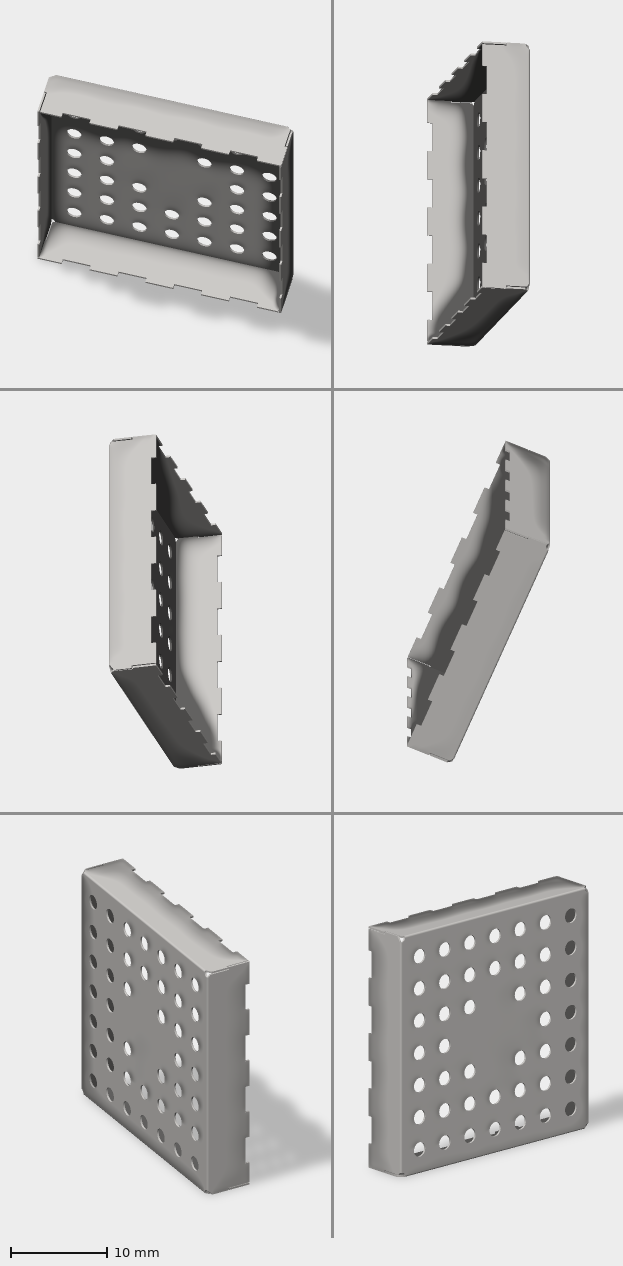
import cadquery as cq
import math

SIDE = 26.21
DEPTH = 5.08
SHEET = 0.2
CORNER_GAP = 0.1
RELIEF_RADIUS = 0.45
RELIEF_INSET = 0.13
RELIEF_SLOPE_WIDTH = 0.53
RELIEF_SLOPE_DEPTH = 0.37

HOLE_DIAMETER = 1.57
HOLE_PITCH = 3.5
HOLE_RINGS = 3
BLANK_STEPS = 1

NOTCH_COUNT = 4
NOTCH_WIDTH = 3.0
NOTCH_DEPTH = 0.5
NOTCH_PITCH = 6.0

WALL_COUNT = 4

half_side = SIDE / 2
half_depth = DEPTH / 2
inner_half = half_side - SHEET
plate_inner_y = half_depth - SHEET
lap_half = inner_half - CORNER_GAP


def block(x_range, y_range, z_range):
    """Box spanning the given (low, high) ranges."""
    size = [high - low for low, high in (x_range, y_range, z_range)]
    low_corner = (x_range[0], y_range[0], z_range[0])
    return cq.Workplane("XY").box(*size, centered=False).translate(low_corner)


def perforated_plate():
    """Flat square between the bends, with its hole grid."""
    flat = (-inner_half, inner_half)
    plate = block(flat, (plate_inner_y, half_depth), flat)
    steps = range(-HOLE_RINGS, HOLE_RINGS + 1)
    holes = [
        (column * HOLE_PITCH, row * HOLE_PITCH)
        for column in steps
        for row in steps
        if abs(column) + abs(row) > BLANK_STEPS
    ]
    hole_tools = cq.Workplane("XZ").pushPoints(holes).circle(HOLE_DIAMETER / 2).extrude(DEPTH, both=True)
    return plate.cut(hole_tools)


def plate_reliefs():
    """Round cutters at the four corners, through the plate and the bends only."""
    centre = half_side - RELIEF_INSET
    ends = (-centre, centre)
    return (
        cq.Workplane("XZ", origin=(0, half_depth, 0))
        .pushPoints([(x, z) for x in ends for z in ends])
        .circle(RELIEF_RADIUS)
        .extrude(SHEET)
    )


def bent_strip():
    """Full-width +Z wall with the rounded bend that joins it to the plate."""
    bend_mid = SHEET * math.sqrt(0.5)
    return (
        cq.Workplane("YZ", origin=(-half_side, 0, 0))
        .moveTo(-half_depth, inner_half)
        .lineTo(plate_inner_y, inner_half)
        .lineTo(half_depth, inner_half)
        .threePointArc((plate_inner_y + bend_mid, inner_half + bend_mid), (plate_inner_y, half_side))
        .lineTo(-half_depth, half_side)
        .close()
        .extrude(SIDE)
    )


def corner_laps():
    """Corner material given up to the neighbours: far half at -X, plate half at +X."""
    wall_z = (inner_half, half_side)
    far_lap = block((-half_side, -lap_half), (-half_depth, CORNER_GAP / 2), wall_z)
    plate_lap = block((lap_half, half_side), (-CORNER_GAP / 2, half_depth), wall_z)
    return far_lap.union(plate_lap)


def wall_reliefs():
    """Sloped cuts at both ends of the +Z wall, just below the bend."""
    right_end = (
        cq.Workplane("XY", origin=(0, 0, inner_half))
        .moveTo(half_side, plate_inner_y)
        .lineTo(half_side - RELIEF_SLOPE_WIDTH, plate_inner_y)
        .lineTo(half_side, plate_inner_y - RELIEF_SLOPE_DEPTH)
        .close()
        .extrude(SHEET)
    )
    return right_end.union(right_end.mirror("YZ"))


def edge_notches():
    """Evenly spaced notches in the free edge of the +Z wall."""
    first_centre = -NOTCH_PITCH * (NOTCH_COUNT - 1) / 2
    centres = [(first_centre + i * NOTCH_PITCH, -half_depth) for i in range(NOTCH_COUNT)]
    return (
        cq.Workplane("XY", origin=(0, 0, inner_half))
        .pushPoints(centres)
        .rect(NOTCH_WIDTH, 2 * NOTCH_DEPTH)
        .extrude(SHEET)
    )


def wall():
    """The finished +Z wall."""
    return bent_strip().cut(corner_laps()).cut(wall_reliefs()).cut(edge_notches())


def shield():
    """Plate and four identical walls, relieved at the corners."""
    body = perforated_plate()
    top_wall = wall()
    for turn in range(WALL_COUNT):
        angle = turn * 360 / WALL_COUNT
        body = body.union(top_wall.rotate((0, 0, 0), (0, 1, 0), angle))
    return body.cut(plate_reliefs())


result = shield()